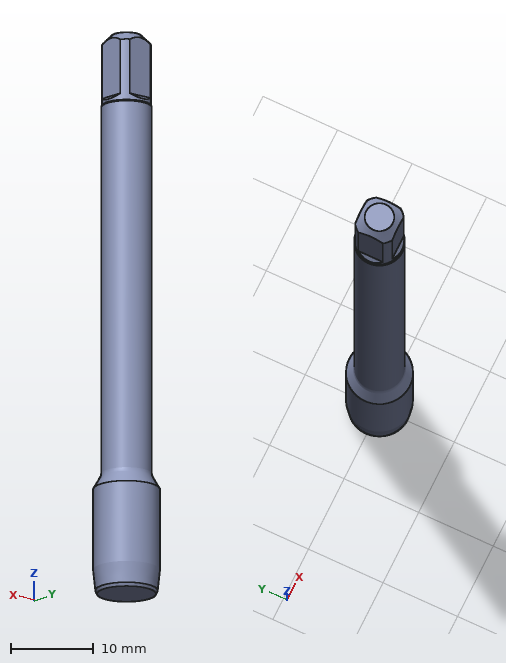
import cadquery as cq
import math

total_length = 70.1
shank_radius = 6.2 / 2
cone_angle = math.radians(30)
neck_fillet = 1.0
edge_margin = 0.1

square_width = 5.0
square_bottom = 62.1
square_corner_radius = 5.95 / 2
shoulder_bottom = 61.1
shoulder_height = (shank_radius - square_corner_radius) / math.tan(cone_angle)
top_chamfer = 1.2

head_radius = 8.1 / 2
head_top = 13.1
tip_chamfer_height = 0.4
taper_top = 3.0
taper_bottom_radius = 3.8
tip_radius = 3.6

neck_height = head_top + (head_radius - shank_radius) / math.tan(cone_angle)


def revolve_profile(points):
    """Revolve a closed (radius, height) outline about the Z axis."""
    return cq.Workplane("XZ").polyline(points).close().revolve(360, (0, 0, 0), (0, 1, 0))


def make_square_cutter():
    """Material outside the square, with a 45 degree run-out below each flat."""
    reach = 2 * shank_radius
    half_width = square_width / 2
    runout = reach - half_width
    outline = [
        (half_width, square_bottom),
        (reach, square_bottom - runout),
        (reach, total_length),
        (half_width, total_length),
    ]
    return cq.Workplane("XZ").polyline(outline).close().extrude(shank_radius, both=True)


def make_shank():
    """Plain shank with a square drive end and a cone that widens to the head."""
    shank = revolve_profile([
        (0, head_top),
        (head_radius, head_top),
        (shank_radius, neck_height),
        (shank_radius, shoulder_bottom),
        (square_corner_radius, shoulder_bottom + shoulder_height),
        (square_corner_radius, total_length - top_chamfer),
        (square_corner_radius - top_chamfer, total_length),
        (0, total_length),
    ])
    neck_edge = cq.selectors.BoxSelector(
        (-head_radius, -head_radius, neck_height - edge_margin),
        (head_radius, head_radius, neck_height + edge_margin),
        boundingbox=True,
    )
    shank = shank.edges(neck_edge).fillet(neck_fillet)
    cutter = make_square_cutter()
    for angle in (0, 90, 180, 270):
        shank = shank.cut(cutter.rotate((0, 0, 0), (0, 0, 1), angle))
    return shank


def make_head():
    """Cylindrical head that tapers towards a chamfered tip."""
    return revolve_profile([
        (0, 0),
        (tip_radius, 0),
        (taper_bottom_radius, tip_chamfer_height),
        (head_radius, taper_top),
        (head_radius, head_top),
        (0, head_top),
    ])


shank = make_shank()
head = make_head()

result = cq.Compound.makeCompound([shank.val(), head.val()])